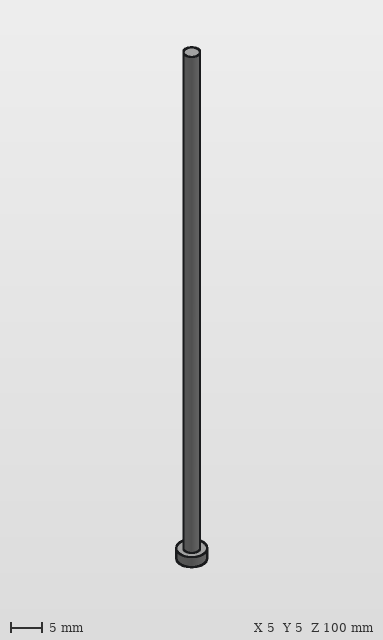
import cadquery as cq

total_length = 100.0
head_diameter = 5.0
head_height = 2.0
shaft_diameter = 2.7

head = cq.Workplane("XY").circle(head_diameter / 2).extrude(head_height)

shaft = cq.Workplane("XY").circle(shaft_diameter / 2).extrude(total_length)

result = head.union(shaft)